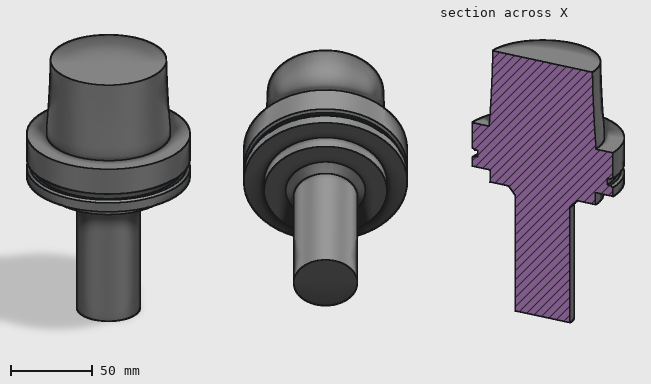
import cadquery as cq

flange_radius = 100.0 / 2
groove_radius = 92.0 / 2
land_radius = 75.8 / 2
collar_radius = 75.0 / 2
taper_mid_radius = 36.3
taper_top_radius = 35.5
neck_top_radius = 24.4
shank_radius = 39.0 / 2

total_height = 168.0
neck_bottom = 76.0
neck_top = neck_bottom + 5.2
flange_bottom = neck_top + 7.9
flange_top = flange_bottom + 28.9
land_top = flange_top + 2.0
taper_middle = (land_top + total_height) / 2

bevel_height = 1.0
bevel_radius = flange_radius - 2.0
groove_bottom = flange_bottom + 6.0
groove_top = groove_bottom + 6.0

profile = (
    cq.Workplane("XZ")
    .lineTo(shank_radius, 0)
    .lineTo(shank_radius, neck_bottom)
    .lineTo(neck_top_radius, neck_top)
    .lineTo(collar_radius, neck_top)
    .lineTo(collar_radius, flange_bottom)
    .lineTo(flange_radius, flange_bottom)
    .lineTo(flange_radius, groove_bottom)
    .lineTo(bevel_radius, groove_bottom + bevel_height)
    .lineTo(groove_radius, groove_bottom + bevel_height)
    .lineTo(groove_radius, groove_top - bevel_height)
    .lineTo(bevel_radius, groove_top - bevel_height)
    .lineTo(flange_radius, groove_top)
    .lineTo(flange_radius, flange_top)
    .lineTo(land_radius, flange_top)
    .lineTo(land_radius, land_top)
    .threePointArc((taper_mid_radius, taper_middle), (taper_top_radius, total_height))
    .lineTo(0, total_height)
    .close()
)

result = profile.revolve(360, (0, 0, 0), (0, 1, 0))